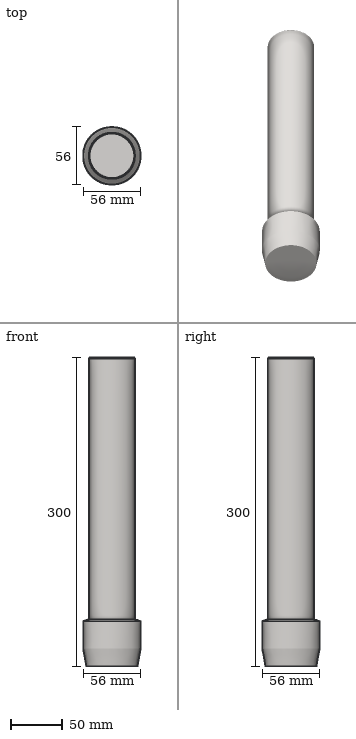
import cadquery as cq

total_length = 300.0
shaft_radius = 22.5
shaft_chamfer_width = 1.0
shaft_chamfer_height = 1.2
sleeve_diameter = 56.0
sleeve_radius = sleeve_diameter / 2
sleeve_bottom_radius = 25.0
nose_height = 17.0
shoulder_height = 43.8
sleeve_height = 45.5


def make_shaft():
    """Round bar with a chamfered top end, running the full length."""
    return (
        cq.Workplane("XZ")
        .lineTo(shaft_radius, 0)
        .lineTo(shaft_radius, total_length - shaft_chamfer_height)
        .lineTo(shaft_radius - shaft_chamfer_width, total_length)
        .lineTo(0, total_length)
        .close()
        .revolve(360, (0, 0, 0), (0, 1, 0))
    )


def make_sleeve():
    """Collar around the shaft's lower end, with a tapered nose and a sloped top."""
    return (
        cq.Workplane("XZ")
        .moveTo(shaft_radius, 0)
        .lineTo(sleeve_bottom_radius, 0)
        .lineTo(sleeve_radius, nose_height)
        .lineTo(sleeve_radius, shoulder_height)
        .lineTo(shaft_radius, sleeve_height)
        .close()
        .revolve(360, (0, 0, 0), (0, 1, 0))
    )


shaft = make_shaft()
sleeve = make_sleeve()

result = cq.Compound.makeCompound([shaft.val(), sleeve.val()])